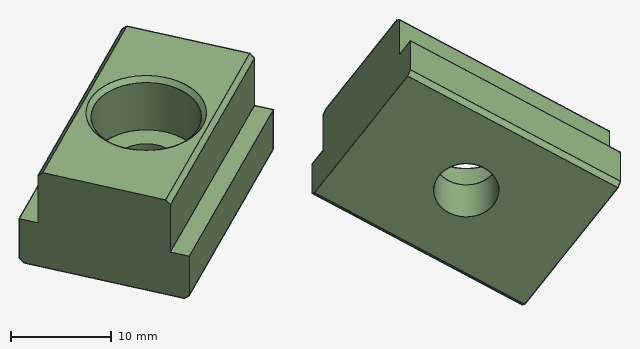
import cadquery as cq

base_width = 18.0
length = 25.0
height = 12.0

neck_width = 14.0
flange_height = 5.5
edge_chamfer = 0.5

hole_diameter = 6.5
counterbore_diameter = 11.0
counterbore_depth = 6.5
mouth_chamfer = 0.5


def make_body():
    """T-shaped section, centred on X and Y, extruded along Y from Z = 0."""
    half_base = base_width / 2
    half_neck = neck_width / 2
    right_side = [
        (half_base - edge_chamfer, 0),
        (half_base, edge_chamfer),
        (half_base, flange_height),
        (half_neck, flange_height),
        (half_neck, height - edge_chamfer),
        (half_neck - edge_chamfer, height),
    ]
    left_side = [(-x, z) for x, z in reversed(right_side)]
    section = cq.Workplane("XZ").polyline(right_side + left_side).close()
    return section.extrude(length / 2, both=True)


def cut_screw_hole(body):
    """Through hole, counterbored from the top, with a chamfered mouth."""
    top = cq.Workplane("XY").workplane(offset=height)
    drilled = top.circle(hole_diameter / 2).extrude(-height)
    counterbore = top.circle(counterbore_diameter / 2).extrude(-counterbore_depth)
    mouth_radius = counterbore_diameter / 2 + mouth_chamfer
    mouth = cq.Workplane(
        cq.Solid.makeCone(
            counterbore_diameter / 2,
            mouth_radius,
            mouth_chamfer,
            pnt=cq.Vector(0, 0, height - mouth_chamfer),
        )
    )
    return body.cut(drilled).cut(counterbore).cut(mouth)


result = cut_screw_hole(make_body())